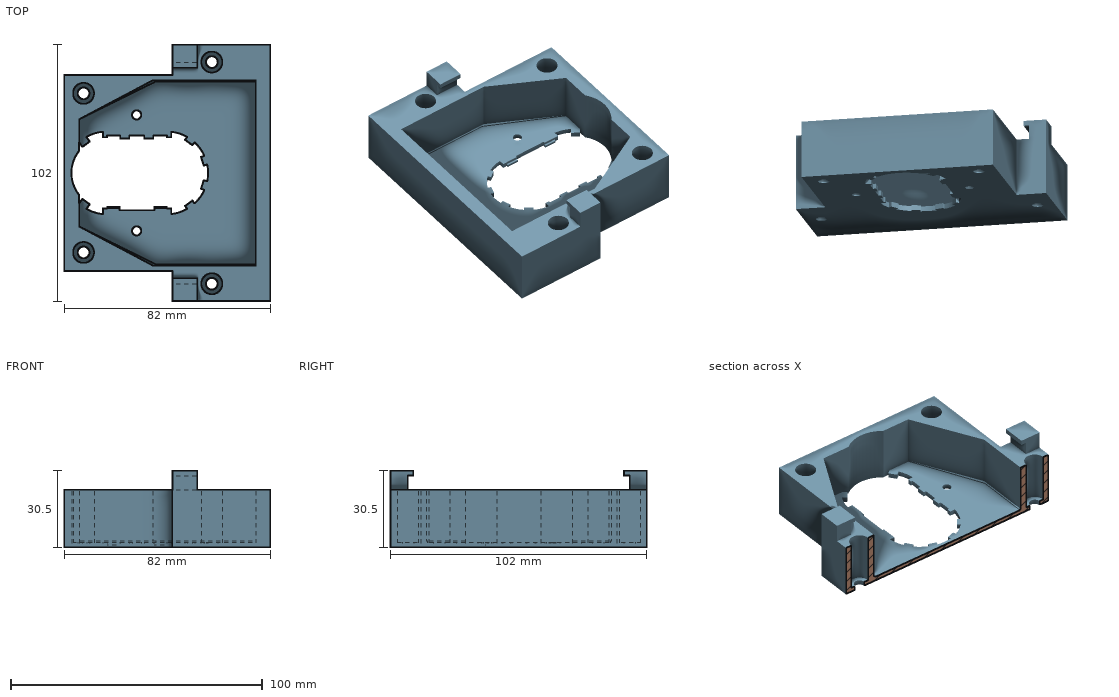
import cadquery as cq

LENGTH_X = 82.0
WIDTH_Y = 102.0
CLIP_TOP = 30.5
BODY_HEIGHT = 23.0
BODY_WIDTH = 78.0
EAR_START_X = 43.0

CLIP_LENGTH = 10.0
CLIP_THICKNESS = 6.9
HOOK_REACH = 2.2
HOOK_HEIGHT = 2.0

FLOOR = 2.0
LEDGE_HEIGHT = 0.5
POCKET_LEFT_X = 6.0
POCKET_RIGHT_X = 76.3
POCKET_LEFT_HALF = 21.3
POCKET_CORNER_X = 35.3
POCKET_HALF = 36.8
LEDGE_HALF = 36.3
LEDGE_CORNER_X = 36.4

OPENING_LEFT_X = 17.0
OPENING_RIGHT_X = 40.8
BORE_RADIUS = 14.1
RECESS_RADIUS = 16.4
RECESS_LEFT_X = 15.4
RECESS_RIGHT_X = 42.6
SLOT_HALF = 14.8
SLOT_INSET = 1.7
TAB_WIDTH = 3.7
RIGHT_TAB_RADIUS = 14.9
TAB_PITCH_DEGREES = 36.0
END_OVERLAP = 1.0
STRAIGHT_TAB_HALF = 13.7
STRAIGHT_TAB_OFFSET = 4.8
LOW_TAB_LENGTH = 5.0
LOW_TAB_HALF = 13.4
LOW_TAB_HEIGHT = FLOOR / 2

SCREW_DIAMETER = 4.6
HEAD_DIAMETER = 8.4
BODY_SCREW = (7.8, 31.6)
EAR_SCREW = (58.8, 44.1)
PILOT_DIAMETER = 3.6
PILOT = (28.9, 23.1)

opening_middle_x = (OPENING_LEFT_X + OPENING_RIGHT_X) / 2


def block(x_range, y_range, z_range):
    """Box between pairs of X, Y and Z limits."""
    size = [high - low for low, high in (x_range, y_range, z_range)]
    corner = (x_range[0], y_range[0], z_range[0])
    return cq.Workplane("XY").box(*size, centered=False).translate(corner)


def cylinder(x, y, diameter, bottom, top):
    """Upright cylinder between two heights."""
    return cq.Workplane("XY", origin=(x, y, bottom)).circle(diameter / 2).extrude(top - bottom)


def mirrored_pair(point):
    """The point and its mirror image across the X axis."""
    x, y = point
    return [(x, y), (x, -y)]


def clip():
    """Upright clip on the +Y ear with a hook that points inward."""
    outer_y = WIDTH_Y / 2
    inner_y = outer_y - CLIP_THICKNESS
    x_range = (EAR_START_X, EAR_START_X + CLIP_LENGTH)
    post = block(x_range, (inner_y, outer_y), (0, CLIP_TOP))
    hook = block(x_range, (inner_y - HOOK_REACH, outer_y), (CLIP_TOP - HOOK_HEIGHT, CLIP_TOP))
    return post.union(hook)


def pocket_prism(corner_x, half_width, bottom):
    """Pocket outline with two slanted left corners, from a given height up to the body top."""
    upper = [
        (POCKET_LEFT_X, POCKET_LEFT_HALF),
        (corner_x, half_width),
        (POCKET_RIGHT_X, half_width),
    ]
    lower = [(x, -y) for x, y in reversed(upper)]
    outline = cq.Workplane("XY", origin=(0, 0, bottom)).polyline(upper + lower).close()
    return outline.extrude(BODY_HEIGHT - bottom)


def radial_tab(center_x, angle, inner_radius):
    """Straight tab that points at the center of one round end of the opening."""
    outer_radius = RECESS_RADIUS + END_OVERLAP
    tab = block((inner_radius, outer_radius), (-TAB_WIDTH / 2, TAB_WIDTH / 2), (0, FLOOR))
    return tab.rotate((0, 0, 0), (0, 0, 1), angle).translate((center_x, 0, 0))


def floor_opening():
    """Long opening: two recessed round ends joined by straight, notched sides."""
    floor_z = (0, FLOOR)
    reach = RECESS_RADIUS + END_OVERLAP
    left_end = cylinder(OPENING_LEFT_X, 0, 2 * RECESS_RADIUS, *floor_z).intersect(
        block((POCKET_LEFT_X, RECESS_LEFT_X), (-reach, reach), floor_z)
    )
    right_end = cylinder(OPENING_RIGHT_X, 0, 2 * RECESS_RADIUS, *floor_z).intersect(
        block((RECESS_RIGHT_X, OPENING_RIGHT_X + reach), (-reach, reach), floor_z)
    )
    near_angle = TAB_PITCH_DEGREES / 2
    far_angle = near_angle + TAB_PITCH_DEGREES
    for side in (1, -1):
        left_end = left_end.cut(radial_tab(OPENING_LEFT_X, side * (180 - far_angle), BORE_RADIUS))
        for angle in (near_angle, far_angle):
            right_end = right_end.cut(radial_tab(OPENING_RIGHT_X, side * angle, RIGHT_TAB_RADIUS))

    middle = block((RECESS_LEFT_X, RECESS_RIGHT_X), (-BORE_RADIUS, BORE_RADIUS), floor_z)
    slot_left = RECESS_LEFT_X + SLOT_INSET
    slot_right = RECESS_RIGHT_X - SLOT_INSET
    middle = middle.union(block((slot_left, slot_right), (0, SLOT_HALF), floor_z))
    for direction in (-1, 1):
        tab_x = opening_middle_x + direction * STRAIGHT_TAB_OFFSET
        tab_range = (tab_x - TAB_WIDTH / 2, tab_x + TAB_WIDTH / 2)
        middle = middle.cut(block(tab_range, (STRAIGHT_TAB_HALF, SLOT_HALF), floor_z))

    low_tabs = [(slot_left, slot_left + LOW_TAB_LENGTH), (slot_right - LOW_TAB_LENGTH, slot_right)]
    middle = middle.union(block((low_tabs[0][1], low_tabs[1][0]), (-SLOT_HALF, 0), floor_z))
    for tab_range in low_tabs:
        middle = middle.cut(block(tab_range, (-BORE_RADIUS, -LOW_TAB_HALF), (0, LOW_TAB_HEIGHT)))
    return left_end.union(middle).union(right_end)


half_body = BODY_WIDTH / 2
half_ears = WIDTH_Y / 2
part = block((0, LENGTH_X), (-half_body, half_body), (0, BODY_HEIGHT))
part = part.union(block((EAR_START_X, LENGTH_X), (-half_ears, half_ears), (0, BODY_HEIGHT)))
part = part.union(clip()).union(clip().mirror("XZ"))

part = part.cut(pocket_prism(POCKET_CORNER_X, POCKET_HALF, FLOOR + LEDGE_HEIGHT))
part = part.cut(pocket_prism(LEDGE_CORNER_X, LEDGE_HALF, FLOOR))

part = part.cut(floor_opening())
wall_bore = cylinder(OPENING_LEFT_X, 0, 2 * BORE_RADIUS, 0, BODY_HEIGHT)
part = part.cut(wall_bore.intersect(block((0, RECESS_LEFT_X), (-half_body, half_body), (0, BODY_HEIGHT))))

for x, y in mirrored_pair(BODY_SCREW) + mirrored_pair(EAR_SCREW):
    part = part.cut(cylinder(x, y, SCREW_DIAMETER, 0, BODY_HEIGHT))
    part = part.cut(cylinder(x, y, HEAD_DIAMETER, FLOOR, BODY_HEIGHT))

for x, y in mirrored_pair(PILOT):
    part = part.cut(cylinder(x, y, PILOT_DIAMETER, 0, FLOOR))

result = part